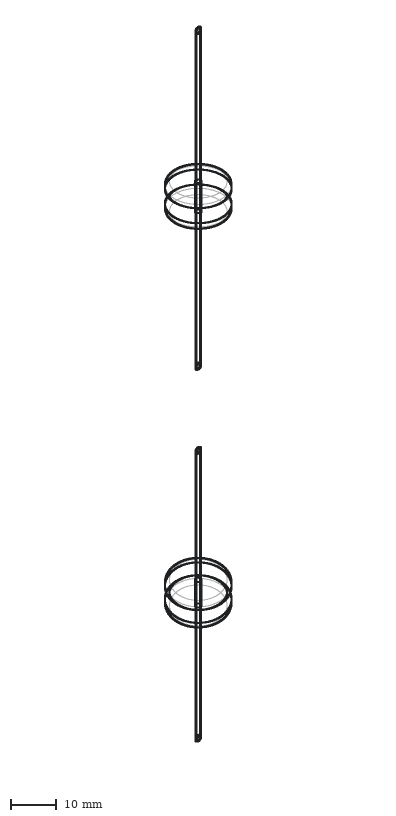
import cadquery as cq
import math

tube_length = 91.0
tube_diameter = 1.3
tube_bore = 0.8
bevel_angle = 45.0

spool_diameter = 14.6
spool_bore = 1.4
rim_width = 2.0
groove_width = 2 * rim_width
groove_depth = 1.0
edge_fillet = 1.0
spool_center_z = 0.5

spool_height = 2 * rim_width + groove_width


def make_tube():
    """Hollow tube cut by two parallel slanted planes, highest at +Y and lowest at -Y."""
    radius = tube_diameter / 2
    half_length = tube_length / 2
    bevel_height = tube_diameter * math.tan(math.radians(bevel_angle))
    side_outline = [
        (-radius, -half_length),
        (radius, -half_length + bevel_height),
        (radius, half_length),
        (-radius, half_length - bevel_height),
    ]
    slanted_block = cq.Workplane("YZ").polyline(side_outline).close().extrude(radius, both=True)
    round_pipe = (
        cq.Workplane("XY", origin=(0, 0, -half_length))
        .circle(radius)
        .circle(tube_bore / 2)
        .extrude(tube_length)
    )
    return round_pipe.intersect(slanted_block)


def make_spool():
    """Disc with rounded outer edges, a concave groove around it and a bore for the tube."""
    outer = spool_diameter / 2
    inner = spool_bore / 2
    top = spool_height / 2
    groove_edge = groove_width / 2
    half_section = (
        cq.Workplane("XZ", origin=(0, 0, spool_center_z))
        .moveTo(inner, -top)
        .lineTo(outer - edge_fillet, -top)
        .radiusArc((outer, -top + edge_fillet), -edge_fillet)
        .lineTo(outer, -groove_edge)
        .threePointArc((outer - groove_depth, 0), (outer, groove_edge))
        .lineTo(outer, top - edge_fillet)
        .radiusArc((outer - edge_fillet, top), -edge_fillet)
        .lineTo(inner, top)
        .close()
    )
    return half_section.revolve(360, (0, 0, 0), (0, 1, 0))


tube = make_tube()
spool = make_spool()
result = cq.Compound.makeCompound([tube.val(), spool.val()])